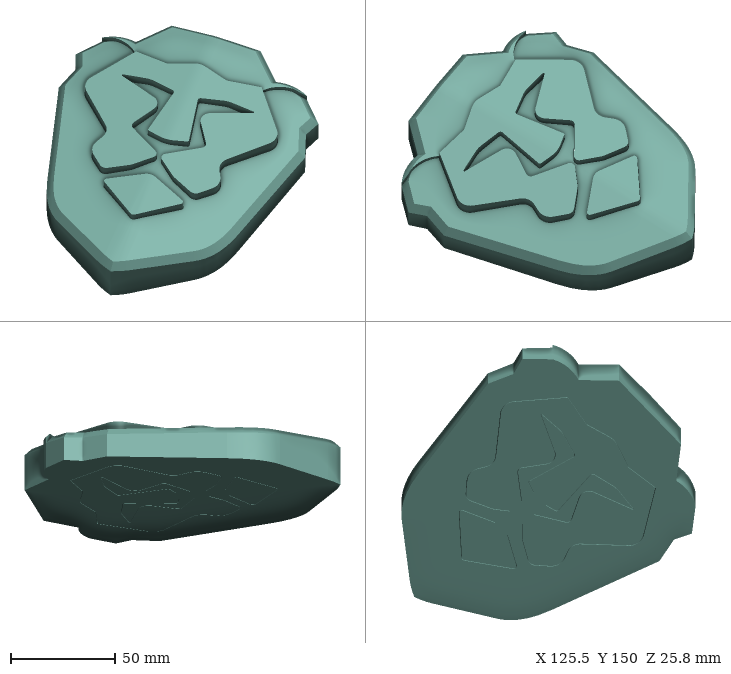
import cadquery as cq
import math

shield_half_length = 75.0
shield_width = 125.5
edge_chamfer = 3.3
ridge_radius = 42.0

field_peak = 22.4
field_slope = 7.3
forehead_peak = 22.6
mask_peak = 25.8
raised_slope = 4.0

fit_gap = 0.3
bar_half_width = 4.5
bar_thickness = 4.5
bar_overlap = 4.5

beyond = 15.0
span = shield_half_length + beyond

crown_corner = (22.6, shield_half_length)
crown_notch = (35.7, 60.6)
ear_top = (43.0, 61.4)
ear_arc_end = (52.2, 58.5)
ear_corner = (62.0, 47.7)
cheek_notch = (58.6, 39.2)
cheek_corner = (shield_width / 2, 26.4)
jaw_start = (48.6, -29.5)
jaw_control = (44.5, -45.9)
jaw_end = (34.8, -52.6)
chin_start = (8.4, -70.6)
chin_tip = (0, -shield_half_length)

step_start = (48.0, 57.6)
step_middle = (38.4, 56.0)
brow_corner = (32.1, 50.8)
brow_underside = 37.5

mask_corners = [
    (0, 53.0, 10.5),
    (15.2, 48.2, 0.8),
    (*brow_corner, 0),
    (51.0, 24.9, 7.2),
    (28.2, 0.6, 6.3),
    (34.0, -11.5, 7.2),
    (23.4, -22.2, 3.9),
    (10.5, -15.8, 9.0),
    (-0.6, -6.0, 2.7),
    (19.2, 7.4, 2.2),
    (8.7, 24.6, 5.1),
    (33.9, 35.1, 0.2),
    (19.8, 36.3, 12.0),
    (6.3, 32.7, 1.2),
    (10.8, 6.6, 1.2),
    (0, 3.3, 13.5),
]

chin_corners = [
    (0, -17.2, 6.8),
    (21.8, -27.9, 1.6),
    (0, -45.0, 2.1),
]


def mirrored(half):
    """Close a right half that starts and ends on the Y axis with its mirror image."""
    return half + [(-x, y, r) for x, y, r in reversed(half[1:-1])]


def rounded_outline(corners):
    """A closed polygon whose corners are rounded by tangent arcs."""
    path = None
    count = len(corners)
    for i, (x, y, radius) in enumerate(corners):
        corner = cq.Vector(x, y)
        before = (cq.Vector(*corners[i - 1][:2]) - corner).normalized()
        after = (cq.Vector(*corners[(i + 1) % count][:2]) - corner).normalized()
        half_angle = before.getAngle(after) / 2
        setback = radius / math.tan(half_angle)
        to_arc = radius / math.sin(half_angle) - radius
        start = (corner + before * setback).toTuple()[:2]
        middle = (corner + (before + after).normalized() * to_arc).toTuple()[:2]
        end = (corner + after * setback).toTuple()[:2]
        path = path.lineTo(*start) if path else cq.Workplane("XY").moveTo(*start)
        if radius > 0:
            path = path.threePointArc(middle, end)
    return path.close()


def gable(peak, slope):
    """Everything from the back up to a gabled surface with a rounded ridge along Y."""
    angle = math.radians(slope)
    tangent_x = ridge_radius * math.sin(angle)
    tangent_z = peak - ridge_radius * (1 - math.cos(angle))
    eave_z = tangent_z - (span - tangent_x) * math.tan(angle)
    return (
        cq.Workplane("XZ", origin=(0, span, 0))
        .moveTo(-span, 0)
        .lineTo(-span, eave_z)
        .lineTo(-tangent_x, tangent_z)
        .threePointArc((0, peak), (tangent_x, tangent_z))
        .lineTo(span, eave_z)
        .lineTo(span, 0)
        .close()
        .extrude(2 * span)
    )


def shield_slab(peak, slope, rim_from_y):
    """The full shield outline under a gabled surface, with the top rim beyond rim_from_y chamfered."""
    outline = (
        cq.Workplane("XY")
        .moveTo(0, shield_half_length)
        .lineTo(*crown_corner)
        .lineTo(*crown_notch)
        .threePointArc(ear_top, ear_arc_end)
        .lineTo(*ear_corner)
        .lineTo(*cheek_notch)
        .lineTo(*cheek_corner)
        .lineTo(*jaw_start)
        .bezier([jaw_start, jaw_control, jaw_end])
        .lineTo(*chin_start)
        .tangentArcPoint(chin_tip, relative=False)
        .mirrorY()
    )
    slab = outline.extrude(mask_peak).intersect(gable(peak, slope))
    above_back = cq.selectors.BoxSelector((-span, rim_from_y, edge_chamfer), (span, span, span))
    return slab.edges(above_back).edges("not(|Z or |Y)").chamfer(edge_chamfer)


def forehead_zone():
    """Prism over the raised part of the shield, above the brow and the ears."""
    return (
        cq.Workplane("XY")
        .moveTo(0, brow_underside)
        .lineTo(brow_corner[0], brow_underside)
        .lineTo(*brow_corner)
        .threePointArc(step_middle, step_start)
        .lineTo(*ear_arc_end)
        .lineTo(span, ear_arc_end[1])
        .lineTo(span, span)
        .lineTo(0, span)
        .mirrorY()
        .extrude(mask_peak)
    )


def face_prisms(inset):
    """Full-height prisms of the mask and the chin, drawn in from their openings by the inset."""
    prisms = cq.Workplane("XY")
    for half in (mask_corners, chin_corners):
        outline = rounded_outline(mirrored(half))
        if inset > 0:
            outline = outline.offset2D(-inset)
        prisms = prisms.add(outline.extrude(mask_peak))
    return prisms.combine()


def joining_bar():
    """Flat bar along the back, from the nose of the mask to the top of the chin."""
    nose_y = mask_corners[-1][1] + bar_overlap
    chin_y = chin_corners[0][1] - bar_overlap
    return cq.Workplane("XY", origin=(0, chin_y, 0)).box(
        2 * bar_half_width, nose_y - chin_y, bar_thickness, centered=(True, False, False)
    )


def make_shield():
    """Shield with a raised forehead, open where the lion's face passes through from the back."""
    field = shield_slab(field_peak, field_slope, -span)
    forehead = shield_slab(forehead_peak, raised_slope, brow_underside).intersect(forehead_zone())
    return field.union(forehead).cut(face_prisms(0)).cut(joining_bar())


def make_face():
    """Lion's face: mask and chin under one gabled surface, joined by the bar at the back."""
    return face_prisms(fit_gap).intersect(gable(mask_peak, raised_slope)).union(joining_bar())


shield = make_shield()
face = make_face()
result = cq.Compound.makeCompound([shield.solids().val(), face.solids().val()])